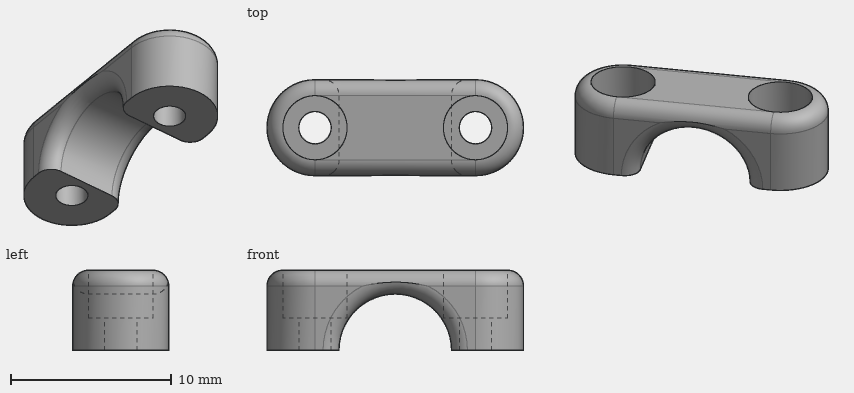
import cadquery as cq

length = 16.0
width = 6.0
height = 5.0
top_round = 1.0

arch_radius = 3.5
mouth_round = 1.0

screw_spacing = length - width
screw_diameter = 2.0
head_diameter = 4.0
head_depth = 3.0


def make_body():
    """Round-ended block with a rounded top edge."""
    block = cq.Workplane("XY").slot2D(length, width).extrude(height)
    return block.faces(">Z").edges().fillet(top_round)


def make_arch_cutter():
    """Solid of revolution about Y: a cylinder that flares out at each mouth."""
    half_width = width / 2
    throat_end = half_width - mouth_round
    mouth_radius = arch_radius + mouth_round
    profile = (
        cq.Workplane("XY")
        .moveTo(0, -half_width)
        .lineTo(mouth_radius, -half_width)
        .radiusArc((arch_radius, -throat_end), mouth_round)
        .lineTo(arch_radius, throat_end)
        .radiusArc((mouth_radius, half_width), mouth_round)
        .lineTo(0, half_width)
        .close()
    )
    return profile.revolve(360, (0, 0, 0), (0, 1, 0))


def cut_screw_holes(body):
    """Counterbored through hole in each foot."""
    return (
        body.faces(">Z")
        .workplane(origin=(0, 0, height))
        .rarray(screw_spacing, 1, 2, 1)
        .cboreHole(screw_diameter, head_diameter, head_depth)
    )


result = cut_screw_holes(make_body().cut(make_arch_cutter()))